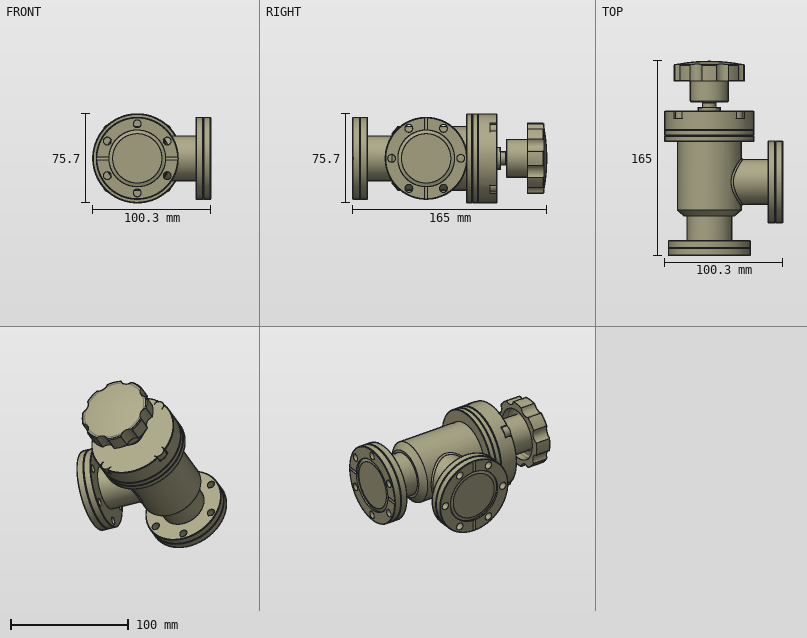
import cadquery as cq
import math


TOTAL_LENGTH = 165.0
TOTAL_WIDTH = 100.3
BONNET_DIAMETER = 75.7
BONNET_RADIUS = BONNET_DIAMETER / 2
PORT_REACH = TOTAL_WIDTH - BONNET_RADIUS
EDGE_BREAK = 0.5
OVERLAP = 1.6

FLANGE_RADIUS = 34.8
FLANGE_THICKNESS = 12.7
TUBE_RADIUS = 19.1
BOLT_CIRCLE_RADIUS = 29.4
BOLT_HOLE_RADIUS = 3.3
BOLT_HOLE_COUNT = 6
RECESS_RADIUS = 24.1
RECESS_DEPTH = 1.6
SEAL_DISC_RADIUS = 21.0
SEAL_DISC_DEPTH = 0.58
LEAK_GROOVE_WIDTH = 2.6
LEAK_GROOVE_DEPTH = 0.7

BODY_RADIUS = 27.2
CONE_START = 33.5
CONE_END = 38.6
CONE_RADIUS = 21.3
WELD_SIZE = 1.2

BONNET_BASE = 96.7
BONNET_PLATE_THICKNESS = 5.0
CAP_TOP = 122.6
SCREW_HEAD_RADIUS = 5.0
SCREW_HEAD_HEIGHT = 6.1
SCREW_CIRCLE_RADIUS = 33.5
SCREW_COUNT = 4

COLLAR_RADIUS = 9.4
COLLAR_TOP = 125.5
STEM_RADIUS = 5.8
STEM_TOP = 129.7
STEM_NECK_RADIUS = 5.3

HUB_RADIUS = 16.2
HUB_BASE = 130.5
HUB_EDGE_FILLET = 1.0
KNOB_BASE = 148.3
KNOB_RIM = 162.4
KNOB_RADIUS = 29.9
KNOB_EDGE_CHAMFER = 0.8
DOME_RADIUS = 27.2
KNOB_LOBES = 8
LOBE_WIDTH = 12.0
FLUTE_FLOOR_RADIUS = 26.4
KNOB_RECESS_RADIUS = 23.1
KNOB_RECESS_DEPTH = 8.0
KNOB_RECESS_FILLET = 2.0


def disc(radius, start, end):
    """Cylinder about the Y axis between two heights."""
    return cq.Workplane("XZ", origin=(0, start, 0)).circle(radius).extrude(start - end)


def plate(radius, start, end):
    """Disc with both rims chamfered."""
    return disc(radius, start, end).edges().chamfer(EDGE_BREAK)


def turned(points):
    """Solid of revolution about the Y axis from (radius, height) points."""
    return cq.Workplane("XY").polyline(points).close().revolve(360, (0, 0), (0, 1))


def make_flange():
    """Pair of bolted plates with its outer face at Y = 0."""
    middle = FLANGE_THICKNESS / 2
    flange = plate(FLANGE_RADIUS, 0, middle).union(plate(FLANGE_RADIUS, middle, FLANGE_THICKNESS))

    recess = turned([
        (0, 0),
        (RECESS_RADIUS, 0),
        (RECESS_RADIUS, RECESS_DEPTH),
        (SEAL_DISC_RADIUS, SEAL_DISC_DEPTH),
        (0, SEAL_DISC_DEPTH),
    ])
    flange = flange.cut(recess)

    holes = (
        cq.Workplane("XZ")
        .polarArray(BOLT_CIRCLE_RADIUS, 90, 360, BOLT_HOLE_COUNT)
        .circle(BOLT_HOLE_RADIUS)
        .extrude(-FLANGE_THICKNESS)
    )
    flange = flange.cut(holes)

    groove_radius = (LEAK_GROOVE_WIDTH**2 / 4 + LEAK_GROOVE_DEPTH**2) / (2 * LEAK_GROOVE_DEPTH)
    groove_length = FLANGE_RADIUS - RECESS_RADIUS + OVERLAP
    for start in (RECESS_RADIUS, -RECESS_RADIUS - groove_length):
        groove = (
            cq.Workplane("YZ", origin=(start, LEAK_GROOVE_DEPTH - groove_radius, 0))
            .circle(groove_radius)
            .extrude(groove_length)
        )
        flange = flange.cut(groove)
    return flange


def make_body():
    """Valve body with its conical end, neck, side tube and the weld around the tube."""
    body = turned([
        (0, CONE_START),
        (CONE_RADIUS, CONE_START),
        (BODY_RADIUS, CONE_END),
        (BODY_RADIUS, BONNET_BASE),
        (0, BONNET_BASE),
    ])
    side_tube = (
        cq.Workplane("YZ", origin=(0, PORT_REACH, 0))
        .circle(TUBE_RADIUS)
        .extrude(PORT_REACH - FLANGE_THICKNESS)
    )
    body = body.union(side_tube)
    weld_reach = TUBE_RADIUS + OVERLAP
    weld_zone = cq.selectors.BoxSelector(
        (OVERLAP, PORT_REACH - weld_reach, -weld_reach),
        (BODY_RADIUS + OVERLAP, PORT_REACH + weld_reach, weld_reach),
    )
    body = body.edges(weld_zone).chamfer(WELD_SIZE)
    neck = disc(TUBE_RADIUS, FLANGE_THICKNESS, CONE_START)
    return body.union(neck)


def make_bonnet():
    """Two plates and the cap, with screw heads set into the cap's rim."""
    middle = BONNET_BASE + BONNET_PLATE_THICKNESS
    cap_base = middle + BONNET_PLATE_THICKNESS
    bonnet = plate(BONNET_RADIUS, BONNET_BASE, middle)
    bonnet = bonnet.union(plate(BONNET_RADIUS, middle, cap_base))
    bonnet = bonnet.union(plate(BONNET_RADIUS, cap_base, CAP_TOP))

    seat = CAP_TOP - SCREW_HEAD_HEIGHT
    pocket = (
        cq.Workplane("XY")
        .box(BONNET_RADIUS, SCREW_HEAD_HEIGHT, 2 * SCREW_HEAD_RADIUS, centered=(False, False, True))
        .translate((SCREW_CIRCLE_RADIUS, seat, 0))
    )
    screw_head = disc(SCREW_HEAD_RADIUS, seat, CAP_TOP).translate((SCREW_CIRCLE_RADIUS, 0, 0))
    for index in range(SCREW_COUNT):
        angle = (index + 0.5) * 360 / SCREW_COUNT
        bonnet = bonnet.cut(pocket.rotate((0, 0, 0), (0, 1, 0), angle))
        bonnet = bonnet.union(screw_head.rotate((0, 0, 0), (0, 1, 0), angle))
    return bonnet


def make_spindle():
    """Collar and stem between the bonnet and the knob."""
    return turned([
        (0, CAP_TOP),
        (COLLAR_RADIUS, CAP_TOP),
        (COLLAR_RADIUS, COLLAR_TOP),
        (STEM_RADIUS, COLLAR_TOP),
        (STEM_RADIUS, STEM_TOP),
        (STEM_NECK_RADIUS, HUB_BASE),
        (0, HUB_BASE),
    ])


def make_knob():
    """Fluted, domed knob, hollow underneath around its hub."""
    dome_rise = TOTAL_LENGTH - KNOB_RIM
    sphere_radius = (DOME_RADIUS**2 + dome_rise**2) / (2 * dome_rise)
    half_angle = math.asin(DOME_RADIUS / sphere_radius) / 2
    dome_middle = (
        sphere_radius * math.sin(half_angle),
        TOTAL_LENGTH - sphere_radius * (1 - math.cos(half_angle)),
    )
    knob = (
        cq.Workplane("XY")
        .moveTo(0, KNOB_BASE)
        .lineTo(KNOB_RADIUS, KNOB_BASE)
        .lineTo(KNOB_RADIUS, KNOB_RIM - KNOB_EDGE_CHAMFER)
        .lineTo(KNOB_RADIUS - KNOB_EDGE_CHAMFER, KNOB_RIM)
        .lineTo(DOME_RADIUS, KNOB_RIM)
        .threePointArc(dome_middle, (0, TOTAL_LENGTH))
        .close()
        .revolve(360, (0, 0), (0, 1))
    )

    pitch = math.radians(360 / KNOB_LOBES)
    flute_half_angle = pitch / 2 - math.asin(LOBE_WIDTH / 2 / KNOB_RADIUS)
    half_chord = KNOB_RADIUS * math.sin(flute_half_angle)
    sagitta = KNOB_RADIUS * math.cos(flute_half_angle) - FLUTE_FLOOR_RADIUS
    flute_radius = (half_chord**2 + sagitta**2) / (2 * sagitta)
    flutes = (
        cq.Workplane("XZ", origin=(0, KNOB_BASE, 0))
        .polarArray(FLUTE_FLOOR_RADIUS + flute_radius, 180 / KNOB_LOBES, 360, KNOB_LOBES)
        .circle(flute_radius)
        .extrude(KNOB_BASE - TOTAL_LENGTH)
    )
    knob = knob.cut(flutes)

    recess = disc(KNOB_RECESS_RADIUS, KNOB_BASE, KNOB_BASE + KNOB_RECESS_DEPTH)
    hub = disc(HUB_RADIUS, HUB_BASE, KNOB_BASE + KNOB_RECESS_DEPTH + OVERLAP)
    hub = hub.faces("<Y").edges().fillet(HUB_EDGE_FILLET)
    ring = recess.cut(hub).faces(">Y").edges().fillet(KNOB_RECESS_FILLET)
    return knob.cut(ring).union(hub)


end_flange = make_flange()
port_flange = (
    end_flange
    .rotate((0, 0, 0), (0, 1, 0), 90)
    .rotate((0, 0, 0), (0, 0, 1), 90)
    .translate((PORT_REACH, PORT_REACH, 0))
)

result = (
    make_body()
    .union(end_flange)
    .union(port_flange)
    .union(make_bonnet())
    .union(make_spindle())
    .union(make_knob())
)